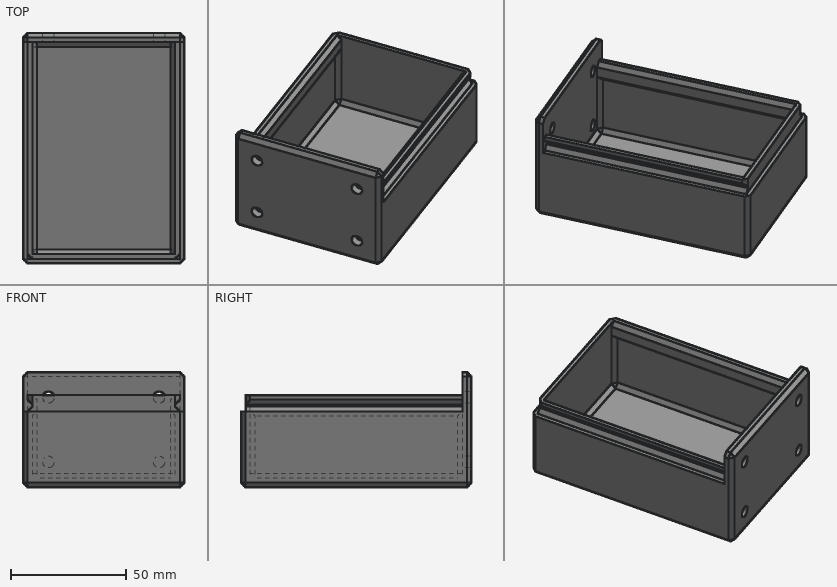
import cadquery as cq

width = 70.0
length = 100.0
height = 50.0
chamfer = 2.0

wall = 4.0
shelf_height = 33.0
rim_height = 40.0
rim_inset = 2.0
rail_depth = 2.0
crest_bottom = shelf_height
bulge_top = rim_height - 2.0
groove_top = bulge_top - rail_depth
groove_bottom = shelf_height + rail_depth

hole_diameter = 5.0
hole_spacing_x = 48.0
hole_heights = (11.0, 39.0)

plate_front = length / 2 - wall
rim_front = -length / 2 + rim_inset
cavity_front = -length / 2 + wall
cavity_half_width = width / 2 - wall


def box_between(x_range, y_range, z_range):
    """Box spanning the given coordinate ranges."""
    sizes = [r[1] - r[0] for r in (x_range, y_range, z_range)]
    corner = (x_range[0], y_range[0], z_range[0])
    return cq.Workplane("XY").box(*sizes, centered=False).translate(corner)


def extrude_profile(points, y_start, y_end):
    """Extrude an XZ outline between two Y positions."""
    plane = cq.Workplane("XZ", origin=(0, y_end, 0))
    return plane.polyline(points).close().extrude(y_end - y_start)


def make_shell():
    """Chamfered block cut down to the shelf, leaving the back plate."""
    block = box_between((-width / 2, width / 2), (-length / 2, length / 2), (0, height))
    block = block.edges().chamfer(chamfer)
    above_shelf = box_between((-width, width), (-length, plate_front), (shelf_height, 2 * height))
    return block.cut(above_shelf)


def make_rim():
    """Raised rim whose outer sides carry a groove below the lip."""
    outer = width / 2 - rim_inset
    inner = outer - rail_depth
    right_side = [
        (outer, shelf_height),
        (inner, groove_bottom),
        (inner, groove_top),
        (outer, bulge_top),
        (outer, rim_height),
    ]
    left_side = [(-x, z) for x, z in reversed(right_side)]
    rim = extrude_profile(right_side + left_side, rim_front, plate_front)
    for side in (-1, 1):
        corner = [
            (side * outer, rim_front),
            (side * inner, rim_front),
            (side * outer, rim_front + rail_depth),
        ]
        bevel = (
            cq.Workplane("XY", origin=(0, 0, groove_bottom))
            .polyline(corner).close().extrude(rim_height - groove_bottom)
        )
        rim = rim.cut(bevel)
    return rim


def make_cavity():
    """Inner pocket with bevelled floor and vertical corners, square at the mouth."""
    pocket = box_between(
        (-cavity_half_width, cavity_half_width), (cavity_front, plate_front), (wall, rim_height)
    )
    pocket = pocket.edges("|Z or <Z").chamfer(chamfer)
    mouth = box_between(
        (-cavity_half_width, cavity_half_width), (cavity_front, plate_front), (crest_bottom, rim_height)
    )
    return pocket.union(mouth)


def make_inner_rail(side):
    """Ridge inside a side wall that backs up the outer groove."""
    face = side * cavity_half_width
    crest = side * (cavity_half_width - rail_depth)
    points = [
        (face, rim_height),
        (crest, rim_height - rail_depth),
        (crest, crest_bottom),
        (face, crest_bottom - rail_depth),
    ]
    return extrude_profile(points, cavity_front, plate_front)


result = make_shell().union(make_rim()).cut(make_cavity())
for side in (-1, 1):
    result = result.union(make_inner_rail(side))

mounting_holes = (
    cq.Workplane("XZ", origin=(0, length / 2, 0))
    .pushPoints([(side * hole_spacing_x / 2, z) for side in (-1, 1) for z in hole_heights])
    .circle(hole_diameter / 2)
    .extrude(wall)
)
result = result.cut(mounting_holes)